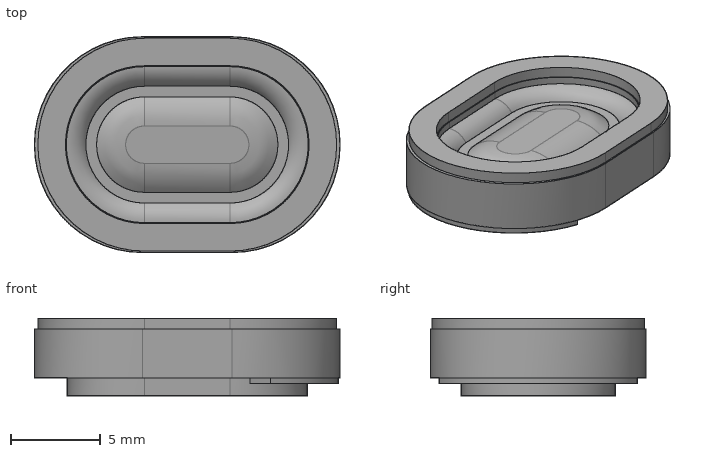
import cadquery as cq
import math

BASE_HEIGHT = 1.0
BODY_HEIGHT = 2.72
CAP_HEIGHT = 0.58
BODY_TOP = BASE_HEIGHT + BODY_HEIGHT
TOTAL_HEIGHT = BODY_TOP + CAP_HEIGHT

BODY_LENGTH = 17.0
BODY_WIDTH = 12.0
BODY_STRAIGHT = BODY_LENGTH - BODY_WIDTH
STRAIGHT = 4.78
CAP_RADIUS = 5.92
BASE_RADIUS = 4.28

OPENING_RADIUS = 4.39
ROLL_OUTER_RADIUS = 4.34
TROUGH_OUTER_RADIUS = 3.25
DOME_RADIUS = 2.65
DOME_FLAT_RADIUS = 1.04
ROLL_TOP = TOTAL_HEIGHT - 0.97
TROUGH_Z = TOTAL_HEIGHT - 1.58
DOME_TOP = TROUGH_Z + 0.56

TERMINAL_THICKNESS = 0.32
TERMINAL_INSET = 0.1
TERMINAL_HALF_ANGLE = math.radians(50)


def slot(straight, radius, bottom, height):
    """Upright prism with a rounded-slot outline."""
    length = straight + 2 * radius
    return cq.Workplane("XY").workplane(offset=bottom).slot2D(length, 2 * radius).extrude(height)


def bulge_midpoint(crest, foot):
    """Middle of the arc that leaves the crest level and drops to the foot."""
    run = foot[0] - crest[0]
    drop = crest[1] - foot[1]
    radius = (run**2 + drop**2) / (2 * drop)
    side = math.copysign(1, run)
    half_angle = math.atan2(drop, abs(run))
    return (crest[0] + side * radius * math.sin(half_angle),
            crest[1] - radius * (1 - math.cos(half_angle)))


def diaphragm_cavity():
    """Space above the diaphragm: a straight run with a half-turn at each end."""
    dome_crest = (DOME_FLAT_RADIUS, DOME_TOP)
    dome_foot = (DOME_RADIUS, TROUGH_Z)
    roll_foot = (TROUGH_OUTER_RADIUS, TROUGH_Z)
    roll_crest = (ROLL_OUTER_RADIUS, ROLL_TOP)

    def half_profile():
        return (
            cq.Workplane("YZ").moveTo(0, DOME_TOP)
            .lineTo(*dome_crest)
            .threePointArc(bulge_midpoint(dome_crest, dome_foot), dome_foot)
            .lineTo(*roll_foot)
            .threePointArc(bulge_midpoint(roll_crest, roll_foot), roll_crest)
            .lineTo(ROLL_OUTER_RADIUS, BODY_TOP)
            .lineTo(0, BODY_TOP)
            .close()
        )

    end = half_profile().revolve(180, (0, 0, 0), (0, -1, 0))
    half_run = half_profile().extrude(STRAIGHT / 2, both=True)
    run = half_run.union(half_run.mirror("XZ"))
    right_end = end.translate((STRAIGHT / 2, 0, 0))
    return run.union(right_end).union(right_end.mirror("YZ"))


def terminal_plate():
    """Sector of the inset body outline, bounded by two rays from the part centre."""
    bottom = BASE_HEIGHT - TERMINAL_THICKNESS
    plate = slot(BODY_STRAIGHT, BODY_WIDTH / 2 - TERMINAL_INSET, bottom, TERMINAL_THICKNESS)
    reach = BODY_LENGTH
    spread = reach * math.tan(TERMINAL_HALF_ANGLE)
    sector = (
        cq.Workplane("XY").workplane(offset=bottom)
        .polyline([(0, 0), (reach, -spread), (reach, spread)]).close()
        .extrude(TERMINAL_THICKNESS)
    )
    return plate.intersect(sector)


base = slot(STRAIGHT, BASE_RADIUS, 0, BASE_HEIGHT)
body = slot(BODY_STRAIGHT, BODY_WIDTH / 2, BASE_HEIGHT, BODY_HEIGHT)
cap = slot(STRAIGHT, CAP_RADIUS, BODY_TOP, CAP_HEIGHT)
cap_opening = slot(STRAIGHT, OPENING_RADIUS, BODY_TOP, CAP_HEIGHT)

result = body.union(base).union(terminal_plate()).union(cap)
result = result.cut(cap_opening).cut(diaphragm_cavity())